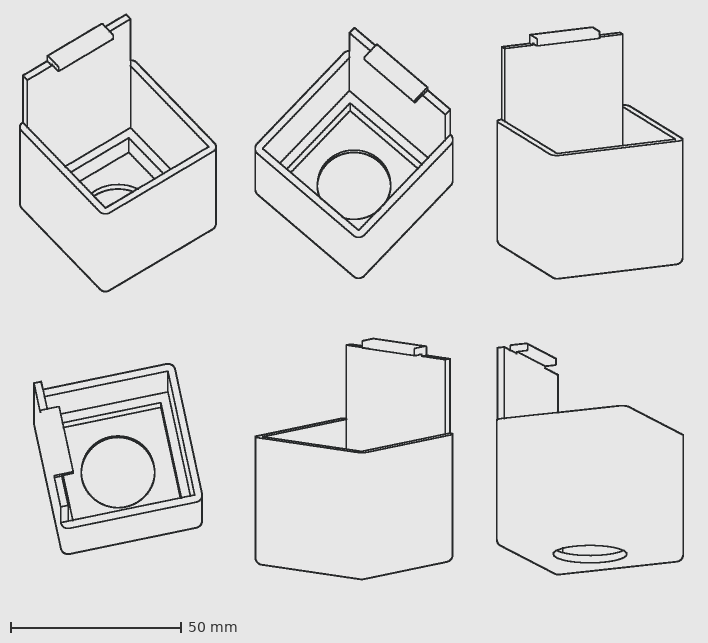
import cadquery as cq

side = 42.4
box_height = 38.2
wall = 2.2
edge_radius = wall

floor_thickness = 2.2
ledge_height = 9.0
ledge_width = 2.7
opening_diameter = 21.5

total_height = 63.1
plate_top = 60.35
tab_width = 20.0
tab_reach = 5.7
tab_thickness = 2.2
tab_edge_radius = 0.5

inner_side = side - 2 * wall
recess_side = inner_side - 2 * ledge_width
plate_x = -side / 2


def make_box():
    """Open box with rounded outer corners and a stepped floor."""
    body = cq.Workplane("XY").rect(side, side).extrude(box_height)
    body = body.edges("|Z or <Z").fillet(edge_radius)
    cavity = (
        cq.Workplane("XY").workplane(offset=ledge_height)
        .rect(inner_side, inner_side).extrude(box_height)
    )
    recess = (
        cq.Workplane("XY").workplane(offset=floor_thickness)
        .rect(recess_side, recess_side).extrude(box_height)
    )
    opening = cq.Workplane("XY").circle(opening_diameter / 2).extrude(box_height)
    return body.cut(cavity).cut(recess).cut(opening)


def make_plate():
    """Flat extension of the -X wall, between the rounded corners."""
    return cq.Workplane("XY").box(
        wall, inner_side, plate_top - edge_radius, centered=(False, True, False)
    ).translate((plate_x, 0, edge_radius))


def make_tab():
    """Tab on top of the plate, hooked inward over the box."""
    profile = (
        cq.Workplane("XZ")
        .moveTo(plate_x, plate_top)
        .lineTo(plate_x, total_height)
        .lineTo(plate_x + tab_reach, total_height)
        .lineTo(plate_x + tab_reach, total_height - tab_thickness)
        .lineTo(plate_x + wall, total_height - tab_thickness)
        .lineTo(plate_x + wall, plate_top)
        .close()
    )
    tab = profile.extrude(tab_width / 2, both=True)
    tab = tab.faces(">X").edges("|Y").fillet(tab_edge_radius)
    return tab.faces("<X").edges(">Z").fillet(tab_edge_radius)


result = make_box().union(make_plate()).union(make_tab())